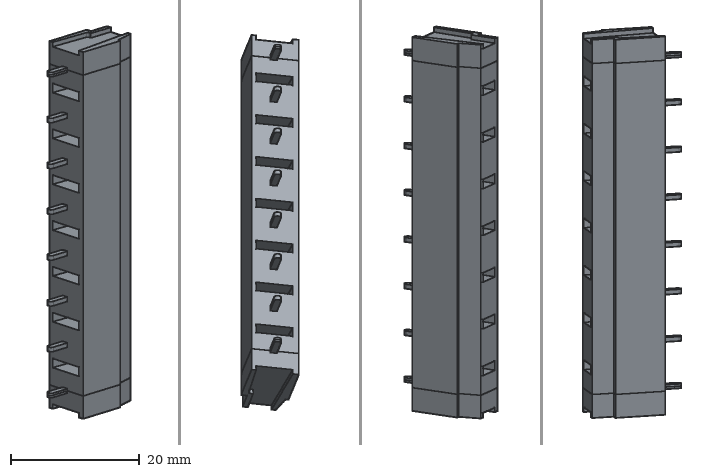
import cadquery as cq

pole_count = 8
strip_length = 60.0
pitch = strip_length / pole_count

housing_width = 7.5
housing_depth = 11.5
back_step_depth = 3.5
shoulder_y = housing_depth - back_step_depth
left_shoulder = 0.95
right_shoulder = 0.5
back_right_x = 6.2

slot_height = 1.5
slot_ledge_y = 7.25
slot_front_left_x = 0.7
slot_ledge_outer_x = 1.0
slot_ledge_fillet = 0.3
slot_ledge_inner_x = 1.75
slot_back_left_x = 1.8
slot_back_right_x = 5.5
slot_front_right_x = 6.55

pin_width = 1.1
pin_thickness = 0.7
pin_length = 3.6
pin_x = 3.5
pin_tip_radius = pin_width / 2

end_length = pitch / 2


def make_housing():
    """Full-length housing without slots."""
    outline = [
        (0, 0),
        (housing_width, 0),
        (housing_width, shoulder_y),
        (housing_width - right_shoulder, shoulder_y),
        (back_right_x, housing_depth),
        (left_shoulder, housing_depth),
        (left_shoulder, shoulder_y),
        (0, shoulder_y),
    ]
    return cq.Workplane("XY").polyline(outline).close().extrude(strip_length)


def make_slot(z_center):
    """Cutter for one slot; on the strip ends only half of it meets the housing."""
    outline = [
        (slot_front_left_x, 0),
        (slot_front_right_x, 0),
        (slot_back_right_x, housing_depth),
        (slot_back_left_x, housing_depth),
        (slot_ledge_inner_x, slot_ledge_y),
        (slot_ledge_outer_x, slot_ledge_y),
    ]
    base = cq.Workplane("XY", origin=(0, 0, z_center - slot_height / 2))
    slot = base.polyline(outline).close().extrude(slot_height)
    ledge_corner = (slot_ledge_outer_x, slot_ledge_y, z_center)
    return slot.edges(cq.NearestToPointSelector(ledge_corner)).fillet(slot_ledge_fillet)


def make_pin(z_center):
    """Flat pin whose tip is a half round in the XY plane."""
    left_x = pin_x - pin_width / 2
    right_x = pin_x + pin_width / 2
    tip_start_y = pin_tip_radius - pin_length
    return (
        cq.Workplane("XY", origin=(0, 0, z_center))
        .moveTo(left_x, 0)
        .lineTo(left_x, tip_start_y)
        .threePointArc((pin_x, -pin_length), (right_x, tip_start_y))
        .lineTo(right_x, 0)
        .close()
        .extrude(pin_thickness / 2, both=True)
    )


def make_strip():
    """Whole strip with slots at every pole boundary and a pin at every pole centre."""
    strip = make_housing()
    for boundary in range(pole_count + 1):
        strip = strip.cut(make_slot(boundary * pitch))
    for pole in range(pole_count):
        strip = strip.union(make_pin((pole + 0.5) * pitch))
    return strip


def strip_section(strip, z_low, z_high):
    """Part of the strip between two heights."""
    section_box = (
        cq.Workplane("XY", origin=(0, -pin_length, z_low))
        .box(housing_width, housing_depth + pin_length, z_high - z_low, centered=False)
    )
    return strip.intersect(section_box)


strip = make_strip()
lower_end = strip_section(strip, 0, end_length)
middle = strip_section(strip, end_length, strip_length - end_length)
upper_end = strip_section(strip, strip_length - end_length, strip_length)

result = cq.Compound.makeCompound([lower_end.val(), middle.val(), upper_end.val()])